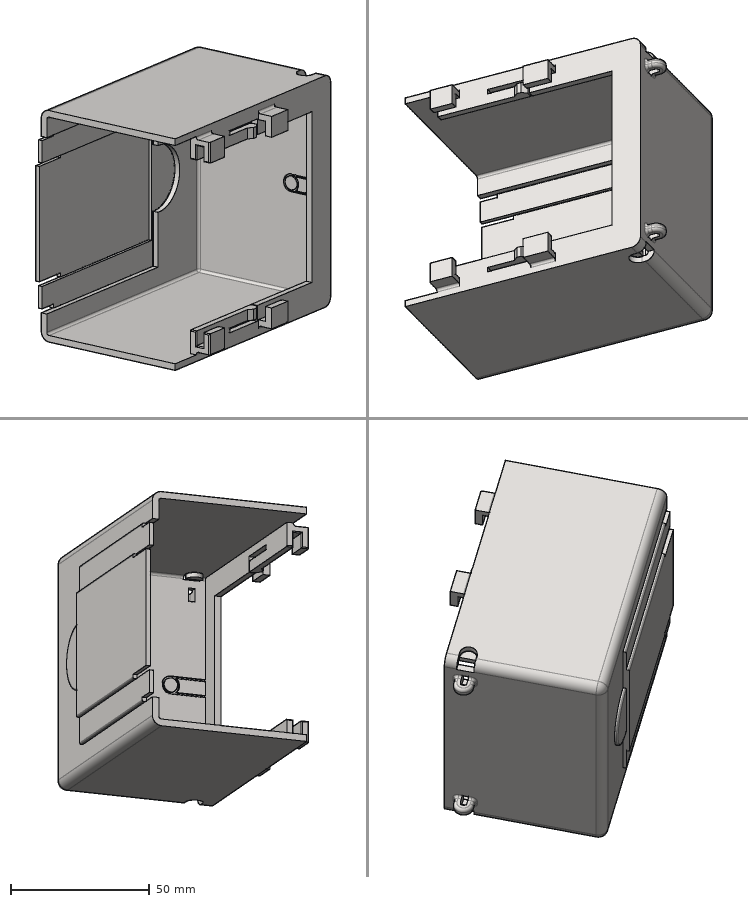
import cadquery as cq


shell_width = 60.0
shell_depth = 95.4
shell_height = 88.0
wall = 2.5
outer_radius = 3.6
inner_radius = outer_radius - wall
half_height = shell_height / 2
selection_margin = 0.1

panel_step = 1.2
panel_thickness = 1.6
panel_length = 68.2
panel_edge_radius = 0.5
outer_panel_half = 33.5
outer_slit_length = 6.9
inner_panel_half = 23.4
inner_slit_length = 12.9
slit_width = 1.5
panel_end_lip = 1.0
disc_radius = 12.7
disc_offset = 0.6
disc_y = panel_length + disc_offset

eye_x = 52.2
eye_drop = 9.3
eye_z = half_height - eye_drop
eye_length = 6.1
eye_radius = 3.7
eye_hole_radius = 1.2
eye_height = 3.5
eye_edge_radius = 1.2
eye_foot_radius = 0.9
window_height = 5.0
pocket_width = 6.4
pocket_length = 8.2
pocket_depth = 2.2
pocket_floor = 1.9
passage_depth = 1.9
back_notch_depth = 3.9

groove_x = 44.1
groove_outer_radius = 3.3
groove_inner_radius = 2.6
groove_depth = 0.8

flange_height = 11.6
flange_start = 12.9
flange_back_width = flange_height

hook_reach = 6.0
hook_top_drop = 3.7
hook_roof = 2.3
hook_gap = 3.1
hook_fillet = 1.0
hook_edge_chamfer = 0.4
front_hook_length = 9.2
back_hook_start = 51.0
back_hook_length = 9.9

arm_slot_start = 33.5
arm_slot_end = 50.3
arm_end_gap = 0.6
arm_slot_drop = 5.6
arm_height = 4.2
bump_height = 1.5
bump_start = 44.3
bump_land_start = 46.1
bump_land_end = 47.8
bump_end = 49.7


def block(x, y, z):
    """Box spanning the given (low, high) limits along each axis."""
    size = [high - low for low, high in (x, y, z)]
    return cq.Workplane("XY").box(*size, centered=False).translate((x[0], y[0], z[0]))


def both_halves(upper):
    """Upper feature joined with its mirror image in the symmetry plane."""
    return upper.union(upper.mirror("XY"))


def make_shell():
    outer = block((0, shell_width), (0, shell_depth), (-half_height, half_height))
    outer = outer.edges("(<X and |Z and >Y) or (<X and |Y) or (>Y and |X)").fillet(outer_radius)
    inner_half = half_height - wall
    inner = block((wall, shell_width), (0, shell_depth - wall), (-inner_half, inner_half))
    inner = inner.edges("(<X and >Y) or (<X and |Y) or (>Y and |X)").fillet(inner_radius)
    return outer.cut(inner)


def make_panel(level, half):
    """Panel standing `level` steps outside the side wall, with rounded long edges."""
    outer_x = -level * panel_step
    panel = block((outer_x, outer_x + panel_thickness), (0, panel_length), (-half, half))
    return panel.edges("<X and |Y").fillet(panel_edge_radius)


def make_disc():
    """Raised round knock-out, half of it beyond the end of the panels."""
    disc = cq.Workplane("YZ").center(disc_y, 0).circle(disc_radius).extrude(panel_thickness)
    return disc.translate((-panel_step, 0, 0)).faces("<X").edges().fillet(panel_edge_radius)


def make_slit(half, length):
    """Slit along the upper long edge of a panel, open at the front."""
    return block((-2 * panel_step, wall), (0, length), (half - slit_width, half))


def add_panels(body):
    body = body.cut(block((0, wall), (0, panel_length), (-outer_panel_half, outer_panel_half)))
    body = body.cut(cq.Workplane("YZ").center(disc_y, 0).circle(disc_radius).extrude(wall))
    outer_panel = make_panel(1, outer_panel_half).union(make_disc())
    opening_length = panel_length - panel_end_lip
    opening = block((-panel_step, wall), (0, opening_length), (-inner_panel_half, inner_panel_half))
    body = body.union(outer_panel.cut(opening)).union(make_panel(2, inner_panel_half))
    body = body.cut(both_halves(make_slit(outer_panel_half, outer_slit_length)))
    return body.cut(both_halves(make_slit(inner_panel_half, inner_slit_length)))


def make_eye():
    """Upper seal eye flaring into a patch of the back wall, its hole still closed."""
    arch_y = shell_depth + eye_length - eye_radius
    eye = (
        cq.Workplane("XY", origin=(eye_x, 0, eye_z - eye_height / 2))
        .moveTo(-eye_radius, shell_depth)
        .lineTo(-eye_radius, arch_y)
        .threePointArc((0, arch_y + eye_radius), (eye_radius, arch_y))
        .lineTo(eye_radius, shell_depth)
        .close()
        .extrude(eye_height)
    )
    eye = eye.faces("<Z or >Z").edges("not <Y").fillet(eye_edge_radius)
    patch_half = 2 * eye_radius
    patch = block(
        (eye_x - patch_half, eye_x + patch_half),
        (shell_depth - wall / 2, shell_depth),
        (eye_z - eye_radius, eye_z + eye_radius),
    )
    foot_zone = cq.selectors.BoxSelector(
        (eye_x - eye_radius - selection_margin, shell_depth - selection_margin, eye_z - eye_height),
        (eye_x + eye_radius + selection_margin, shell_depth + selection_margin, eye_z + eye_height),
    )
    return patch.union(eye).edges(foot_zone).fillet(eye_foot_radius)


def make_eye_hole():
    """Round-ended hole through the upper eye and the window behind it."""
    arch_y = shell_depth + eye_length - eye_radius
    hole_x = (eye_x - eye_hole_radius, eye_x + eye_hole_radius)
    hole_z = (eye_z - window_height / 2, eye_z + window_height / 2)
    round_end = cq.Workplane("XY", origin=(eye_x, arch_y, hole_z[0])).circle(eye_hole_radius)
    return block(hole_x, (shell_depth - wall, arch_y), hole_z).union(round_end.extrude(window_height))


def make_pocket_block(top, depth):
    """Round-ended block reaching in from the back, from `top` down by `depth`."""
    radius = pocket_width / 2
    end_y = shell_depth - pocket_length
    return (
        cq.Workplane("XY", origin=(eye_x, 0, top - depth))
        .moveTo(-radius, shell_depth)
        .lineTo(-radius, end_y + radius)
        .threePointArc((0, end_y), (radius, end_y + radius))
        .lineTo(radius, shell_depth)
        .close()
        .extrude(depth)
    )


def add_seal_features(body):
    """Eyes, windows and the pockets that let a seal pass round the back corners."""
    pocket_x = (eye_x - pocket_width / 2, eye_x + pocket_width / 2)
    inner_back = shell_depth - wall
    floor = make_pocket_block(half_height - pocket_depth, pocket_floor)
    pocket = make_pocket_block(half_height, pocket_depth)
    passage = block(
        pocket_x,
        (inner_back - passage_depth, inner_back),
        (half_height - pocket_depth - pocket_floor, half_height),
    )
    notch = block(pocket_x, (inner_back, shell_depth), (half_height - back_notch_depth, half_height))
    body = body.union(both_halves(floor)).union(both_halves(make_eye()))
    cutters = pocket.union(passage).union(notch)
    return body.cut(both_halves(cutters)).cut(both_halves(make_eye_hole()))


def make_keyhole(radius):
    """Disc with a strip of the same width running to the +X flange."""
    inner_back = shell_depth - wall
    disc = cq.Workplane("XZ", origin=(groove_x, inner_back, 0)).circle(radius).extrude(-groove_depth)
    strip_x = (groove_x, shell_width - wall)
    strip = block(strip_x, (inner_back, inner_back + groove_depth), (-radius, radius))
    return disc, strip


def make_groove():
    """Ring-shaped groove with two parallel grooves running from it to the +X flange."""
    outer_disc, outer_strip = make_keyhole(groove_outer_radius)
    inner_disc, inner_strip = make_keyhole(groove_inner_radius)
    return outer_disc.union(outer_strip.cut(inner_strip)).cut(inner_disc)


def make_flange_half():
    """Upper half of the U-shaped flange along the top, back and bottom of the +X side."""
    flange_x = (shell_width - wall, shell_width)
    flange_end = shell_depth - wall / 2
    plate = block(flange_x, (flange_start, flange_end), (0, half_height - wall / 2))
    opening_end = shell_depth - flange_back_width
    return plate.cut(block(flange_x, (flange_start, opening_end), (0, half_height - flange_height)))


def make_hook(start, length):
    """Upper hook, curling down towards the symmetry plane."""
    root_x = shell_width
    tip_x = shell_width + hook_reach
    top = half_height - hook_top_drop
    tip = half_height - flange_height
    return (
        cq.Workplane("XZ", origin=(0, start + length, 0))
        .moveTo(root_x - wall / 2, top)
        .lineTo(root_x - wall / 2, top + hook_fillet)
        .lineTo(root_x, top + hook_fillet)
        .radiusArc((root_x + hook_fillet, top), -hook_fillet)
        .lineTo(tip_x, top)
        .lineTo(tip_x, tip)
        .lineTo(root_x + hook_gap, tip)
        .lineTo(root_x + hook_gap, top - hook_roof)
        .lineTo(root_x, top - hook_roof)
        .lineTo(root_x, tip)
        .lineTo(root_x - wall / 2, tip)
        .close()
        .extrude(length)
    )


def chamfer_lead_in(body):
    """Chamfers the front edges of the upper front hook's mouth, arm and flange tip."""
    margin = selection_margin
    hook_tip_x = shell_width + hook_reach
    hook_top = half_height - hook_top_drop
    lead_in_zone = cq.selectors.BoxSelector(
        (shell_width - wall + margin, flange_start - margin, 0),
        (hook_tip_x + margin, flange_start + margin, hook_top - margin),
    )
    return body.edges(lead_in_zone).chamfer(hook_edge_chamfer)


def make_hooked_flange():
    """Flange with its two pairs of hooks."""
    hooks = make_hook(flange_start, front_hook_length)
    hooks = hooks.union(make_hook(back_hook_start, back_hook_length))
    upper = make_flange_half().union(hooks)
    return both_halves(chamfer_lead_in(upper))


def make_arm_slot():
    """L-shaped slot that frees the upper snap arm from the flange."""
    slot_x = (shell_width - wall, shell_width)
    arm_low = half_height - flange_height + arm_height
    slot_top = half_height - arm_slot_drop
    along = block(slot_x, (arm_slot_start, arm_slot_end), (arm_low, slot_top))
    end_gap = block(slot_x, (arm_slot_end - arm_end_gap, arm_slot_end), (0, slot_top))
    return along.union(end_gap)


def make_bump():
    """Catch on the outer face of the upper snap arm."""
    bump_x = shell_width + bump_height
    return (
        cq.Workplane("XY", origin=(0, 0, half_height - flange_height))
        .moveTo(shell_width - wall / 2, bump_start)
        .lineTo(shell_width, bump_start)
        .lineTo(bump_x, bump_land_start)
        .lineTo(bump_x, bump_land_end)
        .lineTo(shell_width, bump_end)
        .lineTo(shell_width - wall / 2, bump_end)
        .close()
        .extrude(arm_height)
    )


body = add_panels(make_shell())
body = add_seal_features(body)
body = body.cut(make_groove())
body = body.union(make_hooked_flange())
body = body.cut(both_halves(make_arm_slot()))
body = body.union(both_halves(make_bump()))

result = body